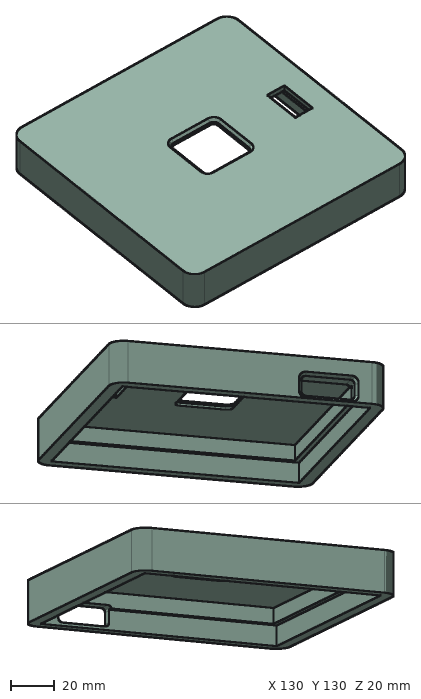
import cadquery as cq

side = 130.0
height = 20.0
corner_radius = 7.0
top_thickness = 3.0

lower_wall = 6.2
upper_wall = 9.0
step_height = 9.6

edge_chamfer = 1.5

window_side = 26.9
window_radius = 2.6

top_slot_length = 20.0
top_slot_width = 10.1
top_slot_y = 47.0

side_slot_length = 25.2
side_slot_height = 9.5
side_slot_radius = 2.0
side_slot_y = -37.5
side_slot_z = 6.4


def plain_block(length, width, depth):
    """Sharp-edged block standing on the XY plane."""
    return cq.Workplane("XY").box(length, width, depth, centered=(True, True, False))


def rounded_block(length, width, depth, radius):
    """Block standing on the XY plane with rounded vertical edges."""
    return plain_block(length, width, depth).edges("|Z").fillet(radius)


def chamfered_cutter(length, width, depth, radius):
    """Rounded cutter flaring outward at the given depth, where it leaves the part.

    The wide mouth continues beyond that depth so it cuts cleanly through the outer face.
    """
    straight = rounded_block(length, width, depth, radius)
    mouth = rounded_block(
        length + 2 * edge_chamfer,
        width + 2 * edge_chamfer,
        2 * edge_chamfer,
        radius + edge_chamfer,
    )
    flare = mouth.faces("<Z").chamfer(edge_chamfer)
    return straight.union(flare.translate((0, 0, depth - edge_chamfer)))


def stepped_cavity():
    lower_side = side - 2 * lower_wall
    upper_side = side - 2 * upper_wall
    lower = plain_block(lower_side, lower_side, step_height)
    upper = plain_block(upper_side, upper_side, height - top_thickness)
    return lower.union(upper)


def window():
    return chamfered_cutter(window_side, window_side, height, window_radius)


def top_slot():
    slot = plain_block(top_slot_length, top_slot_width, height)
    return slot.translate((0, top_slot_y, 0))


def side_slot():
    """Cutter through the -X wall, flaring toward the outside."""
    cutter = chamfered_cutter(side_slot_height, side_slot_length, upper_wall, side_slot_radius)
    cutter = cutter.rotate((0, 0, 0), (0, 1, 0), -90)
    return cutter.translate((upper_wall - side / 2, side_slot_y, side_slot_z))


result = rounded_block(side, side, height, corner_radius)
for cutter in (stepped_cavity(), window(), top_slot(), side_slot()):
    result = result.cut(cutter)